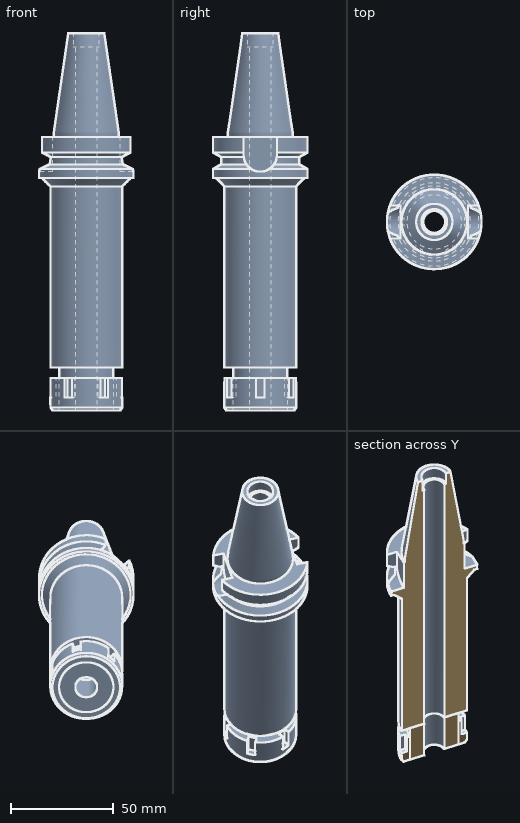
import cadquery as cq
import math


total_height = 183.4

taper_length = 48.5
taper_ratio = 7 / 24
gauge_diameter = 31.7
collar_height = 2.0
gauge_z = total_height - taper_length
tip_diameter = gauge_diameter - taper_ratio * taper_length

flange_diameter = 46.0
upper_rim_height = 7.5
lower_rim_height = 4.4
groove_floor_diameter = 38.1
groove_floor_height = 3.5
groove_wall_angle = 30
flange_top_z = gauge_z - collar_height
groove_depth = (flange_diameter - groove_floor_diameter) / 2
groove_wall_height = groove_depth * math.tan(math.radians(groove_wall_angle))
upper_rim_z = flange_top_z - upper_rim_height
floor_top_z = upper_rim_z - groove_wall_height
floor_bottom_z = floor_top_z - groove_floor_height
lower_rim_z = floor_bottom_z - groove_wall_height
flange_bottom_z = lower_rim_z - lower_rim_height

shank_diameter = 35.0
shank_cone_height = 4.0
shank_bottom_z = 20.9
cone_top_diameter = shank_diameter + 2 * shank_cone_height

drive_slot_width = 16.1
drive_slot_floor_x = 16.3
drive_slot_bottom_z = 116.1

bore_diameter = 10.6
counterbore_diameter = 12.5
counterbore_depth = 6.8

collet_diameter = 26.5

nut_diameter = shank_diameter
nut_height = 16.0
nut_chamfer_height = 1.7
nut_chamfer_width = 1.1
wrench_slot_count = 6
wrench_slot_width = 4.0
wrench_slot_height = 9.5
wrench_slot_floor_radius = 14.7


def revolve_profile(points):
    """Turn an outline of (radius, z) points once around the Z axis."""
    return cq.Workplane("XZ").polyline(points).close().revolve(360, (0, 0, 0), (0, 1, 0))


def cylinder(diameter, bottom_z, height):
    """Upright cylinder on the Z axis."""
    return cq.Workplane("XY").workplane(offset=bottom_z).circle(diameter / 2).extrude(height)


def make_drive_slot():
    """Cutter for the drive slot on the +X side: open at the top, round at the bottom."""
    round_radius = drive_slot_width / 2
    round_center_z = drive_slot_bottom_z + round_radius
    return (
        cq.Workplane("YZ")
        .workplane(offset=drive_slot_floor_x)
        .moveTo(-round_radius, flange_top_z)
        .lineTo(-round_radius, round_center_z)
        .threePointArc((0, drive_slot_bottom_z), (round_radius, round_center_z))
        .lineTo(round_radius, flange_top_z)
        .close()
        .extrude(flange_diameter / 2)
    )


def make_holder():
    """Taper, flange and shank in one piece, with a stepped bore along the axis."""
    holder = revolve_profile([
        (0, shank_bottom_z),
        (shank_diameter / 2, shank_bottom_z),
        (shank_diameter / 2, flange_bottom_z - shank_cone_height),
        (cone_top_diameter / 2, flange_bottom_z),
        (flange_diameter / 2, flange_bottom_z),
        (flange_diameter / 2, lower_rim_z),
        (groove_floor_diameter / 2, floor_bottom_z),
        (groove_floor_diameter / 2, floor_top_z),
        (flange_diameter / 2, upper_rim_z),
        (flange_diameter / 2, flange_top_z),
        (gauge_diameter / 2, flange_top_z),
        (gauge_diameter / 2, gauge_z),
        (tip_diameter / 2, total_height),
        (0, total_height),
    ])
    for angle in (0, 180):
        holder = holder.cut(make_drive_slot().rotate((0, 0, 0), (0, 0, 1), angle))

    bore = cylinder(bore_diameter, shank_bottom_z, total_height - shank_bottom_z)
    counterbore = cylinder(counterbore_diameter, total_height - counterbore_depth, counterbore_depth)
    return holder.cut(bore).cut(counterbore)


def make_collet():
    """Plain sleeve from the shank's end face down through the nut."""
    return cylinder(collet_diameter, 0, shank_bottom_z).cut(cylinder(bore_diameter, 0, shank_bottom_z))


def make_wrench_slot():
    """Cutter for the wrench slot on the +X side of the nut, open at the nut's top face."""
    radial_length = nut_diameter / 2
    return cq.Workplane("XY").box(
        radial_length, wrench_slot_width, wrench_slot_height, centered=(False, True, False)
    ).translate((wrench_slot_floor_radius, 0, nut_height - wrench_slot_height))


def make_nut():
    """Clamping ring around the collet, chamfered below and slotted for a wrench."""
    nut = revolve_profile([
        (collet_diameter / 2, 0),
        (nut_diameter / 2 - nut_chamfer_width, 0),
        (nut_diameter / 2, nut_chamfer_height),
        (nut_diameter / 2, nut_height),
        (collet_diameter / 2, nut_height),
    ])
    for index in range(wrench_slot_count):
        angle = index * 360 / wrench_slot_count
        nut = nut.cut(make_wrench_slot().rotate((0, 0, 0), (0, 0, 1), angle))
    return nut


holder = make_holder()
collet = make_collet()
nut = make_nut()

result = cq.Compound.makeCompound([holder.val(), collet.val(), nut.val()])